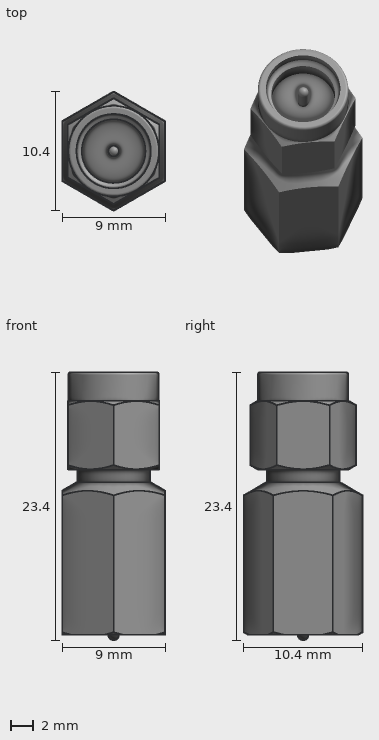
import cadquery as cq
import math

TOTAL_LENGTH = 23.4
BEVEL_SLOPE = math.tan(math.radians(30))

PIN_RADIUS = 0.47
PIN_TOP_RECESS = 0.25

BODY_ACROSS_FLATS = 9.0
BODY_BOTTOM_Z = PIN_RADIUS
BODY_BOTTOM_FACE_RADIUS = 4.8

NECK_RADIUS = 3.18
NECK_LENGTH = 1.05

NUT_ACROSS_FLATS = 8.0
NUT_HEX_LENGTH = 6.04
NUT_BOTTOM_FACE_RADIUS = 3.88
COLLAR_RADIUS = 3.95
COLLAR_LENGTH = 2.5
RIM_FILLET = 0.23

SOCKET_MOUTH_RADIUS = 3.25
SOCKET_MOUTH_DEPTH = 0.9
SOCKET_RADIUS = 2.78
SOCKET_DEPTH = 2.62

COLLAR_BOTTOM_Z = TOTAL_LENGTH - COLLAR_LENGTH
NUT_BOTTOM_Z = COLLAR_BOTTOM_Z - NUT_HEX_LENGTH
NECK_BOTTOM_Z = NUT_BOTTOM_Z - NECK_LENGTH
SOCKET_FLOOR_Z = TOTAL_LENGTH - SOCKET_DEPTH


def cylinder(radius, bottom_z, top_z):
    """Solid cylinder on the Z axis."""
    return cq.Workplane("XY").workplane(offset=bottom_z).circle(radius).extrude(top_z - bottom_z)


def revolve_profile(points):
    """Solid of revolution about Z from closed (radius, z) points."""
    return cq.Workplane("XZ").polyline(points).close().revolve(360, (0, 0, 0), (0, 1, 0))


def bevelled_hex(across_flats, bottom_z, top_z, bottom_radius, top_radius):
    """Hexagonal prism with corners on the Y axis, its ends turned down to cones.

    bottom_radius and top_radius are the radii of the cones at the end planes.
    """
    corner_radius = across_flats / math.sqrt(3)
    prism = (
        cq.Workplane("XY")
        .workplane(offset=bottom_z)
        .polygon(6, 2 * corner_radius)
        .extrude(top_z - bottom_z)
        .rotate((0, 0, 0), (0, 0, 1), 30)
    )
    bottom_bevel = (corner_radius - bottom_radius) * BEVEL_SLOPE
    top_bevel = (corner_radius - top_radius) * BEVEL_SLOPE
    envelope = revolve_profile([
        (0, bottom_z),
        (bottom_radius, bottom_z),
        (corner_radius, bottom_z + bottom_bevel),
        (corner_radius, top_z - top_bevel),
        (top_radius, top_z),
        (0, top_z),
    ])
    return prism.intersect(envelope)


def stepped_socket():
    """Cutter for the socket: wide mouth, conical step, narrower bore."""
    step_top_z = TOTAL_LENGTH - SOCKET_MOUTH_DEPTH
    step_bottom_z = step_top_z - (SOCKET_MOUTH_RADIUS - SOCKET_RADIUS) * BEVEL_SLOPE
    return revolve_profile([
        (0, SOCKET_FLOOR_Z),
        (SOCKET_RADIUS, SOCKET_FLOOR_Z),
        (SOCKET_RADIUS, step_bottom_z),
        (SOCKET_MOUTH_RADIUS, step_top_z),
        (SOCKET_MOUTH_RADIUS, TOTAL_LENGTH),
        (0, TOTAL_LENGTH),
    ])


def centre_pin():
    """Pin running the whole length, rounded at both ends."""
    lower_centre_z = PIN_RADIUS
    upper_centre_z = TOTAL_LENGTH - PIN_TOP_RECESS - PIN_RADIUS
    shank = cylinder(PIN_RADIUS, lower_centre_z, upper_centre_z)
    for centre_z in (lower_centre_z, upper_centre_z):
        shank = shank.union(cq.Workplane("XY").sphere(PIN_RADIUS).translate((0, 0, centre_z)))
    return shank


body = bevelled_hex(BODY_ACROSS_FLATS, BODY_BOTTOM_Z, NECK_BOTTOM_Z, BODY_BOTTOM_FACE_RADIUS, NECK_RADIUS)
neck = cylinder(NECK_RADIUS, NECK_BOTTOM_Z, NUT_BOTTOM_Z)
nut_hex = bevelled_hex(
    NUT_ACROSS_FLATS, NUT_BOTTOM_Z, COLLAR_BOTTOM_Z, NUT_BOTTOM_FACE_RADIUS, COLLAR_RADIUS
)
collar = cylinder(COLLAR_RADIUS, COLLAR_BOTTOM_Z, TOTAL_LENGTH).faces(">Z").edges().fillet(RIM_FILLET)

result = body.union(neck).union(nut_hex).union(collar).cut(stepped_socket()).union(centre_pin())